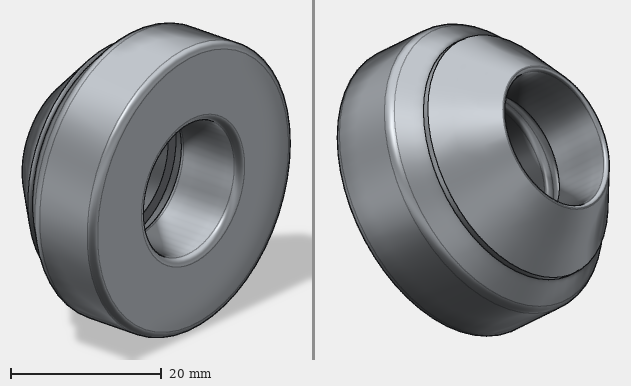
import cadquery as cq
import math

length = 21.25
outer_radius = 20.5
bore_radius = 9.55
edge_round = 1.0
slope_angle = math.radians(45)

lip_inner_round = 0.5
lip_outer_round = 0.2
band_radius = 17.2
shoulder_x = 7.9
seat_x = 8.7

shoulder_round = 1.85
groove_round = 0.8
groove_end_x = 10.58
groove_radius = bore_radius + 2 * groove_round

x_start = -length / 2


def turn(profile):
    """Revolve a closed profile about X and centre the assembly along X."""
    return profile.revolve(360, (0, 0, 0), (1, 0, 0)).translate((x_start, 0, 0))


def tapered_ring():
    """Conical ring with a rounded lip and a band seated in the rear ring."""
    lip_radius = bore_radius + lip_inner_round
    cone_start_x = lip_outer_round * (1 - math.cos(slope_angle))
    cone_start_radius = lip_radius + lip_outer_round * math.sin(slope_angle)
    band_start_x = cone_start_x + (band_radius - cone_start_radius) / math.tan(slope_angle)
    profile = (
        cq.Workplane("XY")
        .moveTo(0, lip_radius)
        .radiusArc((cone_start_x, cone_start_radius), lip_outer_round)
        .lineTo(band_start_x, band_radius)
        .lineTo(seat_x, band_radius)
        .lineTo(seat_x, bore_radius)
        .lineTo(lip_inner_round, bore_radius)
        .radiusArc((0, lip_radius), lip_inner_round)
        .close()
    )
    return turn(profile)


def rear_ring():
    """Ring with a recess, an inner groove, a sloped shoulder and rounded rims."""
    blend_start_radius = outer_radius - shoulder_round * (1 - math.cos(slope_angle))
    blend_start_x = shoulder_x + (blend_start_radius - band_radius) / math.tan(slope_angle)
    blend_end_x = blend_start_x + shoulder_round * math.sin(slope_angle)
    profile = (
        cq.Workplane("XY")
        .moveTo(shoulder_x, band_radius)
        .lineTo(blend_start_x, blend_start_radius)
        .radiusArc((blend_end_x, outer_radius), shoulder_round)
        .lineTo(length - edge_round, outer_radius)
        .radiusArc((length, outer_radius - edge_round), edge_round)
        .lineTo(length, bore_radius + edge_round)
        .radiusArc((length - edge_round, bore_radius), edge_round)
        .lineTo(groove_end_x + groove_round, bore_radius)
        .radiusArc((groove_end_x, bore_radius + groove_round), groove_round)
        .radiusArc((groove_end_x - groove_round, groove_radius), -groove_round)
        .lineTo(seat_x, groove_radius)
        .lineTo(seat_x, band_radius)
        .close()
    )
    return turn(profile)


front_body = tapered_ring()
rear_body = rear_ring()

result = cq.Compound.makeCompound([front_body.val(), rear_body.val()])